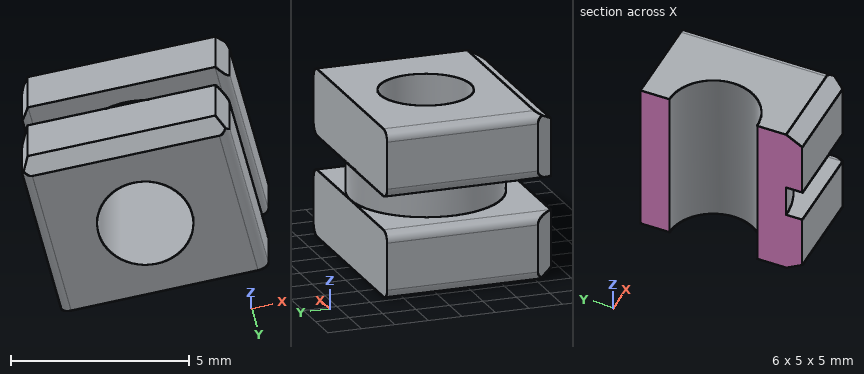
import cadquery as cq
import math

width = 6.0
depth = 5.0
height = 5.0
groove_height = 1.0

neck_diameter = 4.5
bore_diameter = 2.7

side_round = 0.3
bevel_angle = 30.0

plate_height = (height - groove_height) / 2
back_y = neck_diameter / 2
front_y = back_y - depth
bevel_length = depth - neck_diameter
bevel_inset = bevel_length * math.tan(math.radians(bevel_angle))


def upper_plate():
    """Plate with rounded side edges and a bevelled front."""
    plate = (
        cq.Workplane("XY")
        .box(width, depth, plate_height, centered=(True, False, False))
        .translate((0, front_y, groove_height / 2))
        .edges("|Y")
        .fillet(side_round)
    )

    bevel_start_y = front_y + bevel_length
    front_half_width = width / 2 - bevel_inset
    plan = (
        cq.Workplane("XY")
        .polyline([
            (-width / 2, back_y),
            (-width / 2, bevel_start_y),
            (-front_half_width, front_y),
            (front_half_width, front_y),
            (width / 2, bevel_start_y),
            (width / 2, back_y),
        ])
        .close()
        .extrude(height / 2)
    )

    profile = (
        cq.Workplane("YZ")
        .polyline([
            (back_y, 0),
            (back_y, height / 2),
            (bevel_start_y, height / 2),
            (front_y, height / 2 - bevel_inset),
            (front_y, 0),
        ])
        .close()
        .extrude(width / 2, both=True)
    )
    return plate.intersect(plan).intersect(profile)


top_plate = upper_plate()
bottom_plate = top_plate.mirror("XY")

neck = cq.Workplane("XY").circle(neck_diameter / 2).extrude(groove_height / 2, both=True)
bore = cq.Workplane("XY").circle(bore_diameter / 2).extrude(height / 2, both=True)

result = top_plate.union(neck).union(bottom_plate).cut(bore)